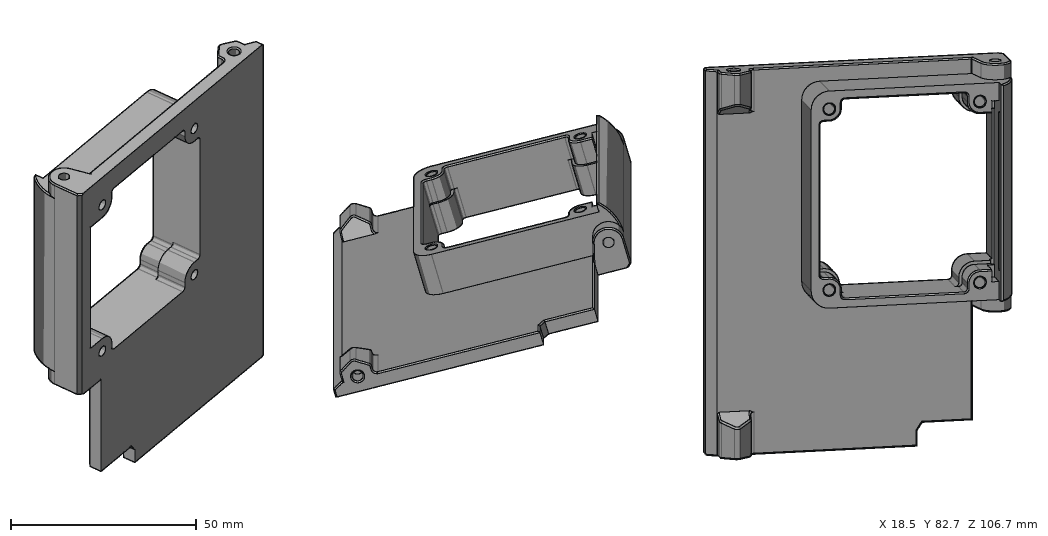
import cadquery as cq
import math

WIDTH = 82.72
HEIGHT = 106.7
EDGE_BREAK = 0.4
TOLERANCE = 0.01

PLATE_THICKNESS = 4.1
PLATE_HINGE_EDGE = 9.5
PLATE_BEVEL_WIDTH = 2.85
PLATE_BEVEL_LAND = 2.4
NOTCH_WIDTH = 24.7
NOTCH_HEIGHT = 6.5
NOTCH_CHAMFER = (1.4, 2.1)

FRAME_DEPTH = 16.0
FRAME_SIZE = 60.0
FRAME_BOTTOM = 42.3
FRAME_TOP = FRAME_BOTTOM + FRAME_SIZE
FRAME_FAR_SIDE = 56.6
FRAME_CORNER_RADIUS = 5.0
FRAME_WALL = 2.5
FRAME_MID_Z = (FRAME_BOTTOM + FRAME_TOP) / 2

LIP_REACH = 18.45
LIP_BACK = 4.85
LIP_TIP_WIDTH = 0.75

SCREW_DIAMETER = 3.0
SCREW_COUNTERSINK = 0.25
SCREW_INSET = 5.0
SCREW_SPACING_Y = 41.5
SCREW_FAR_Y = FRAME_FAR_SIDE - SCREW_INSET
SCREW_NEAR_Y = SCREW_FAR_Y - SCREW_SPACING_Y
SCREW_HALF_SPACING_Z = FRAME_SIZE / 2 - SCREW_INSET
BOSS_STEP_X = -9.0
FRONT_BOSS_RADIUS = 3.4
REAR_BOSS_RADIUS = 4.3
FRONT_BOSS_FILLET = 1.0
REAR_BOSS_FILLET = 1.0
FLARE_ANGLE = 45.0
BOSS_SLOT_WIDTH = 2.0
BOSS_SLOT_DEPTH = 5.5

HINGE_RADIUS = 4.25
HINGE_X = -8.5
HINGE_Y = HINGE_RADIUS
HINGE_PIN_DIAMETER = 3.0
HINGE_BOTTOM = 38.0
HINGE_FOOT_Y = 9.7
BACK_CORNER_CHAMFER = 1.0

CLIP_TIP_X = -9.7
CLIP_TIP_Y = 75.4
CLIP_SHOULDER_X = -6.8
CLIP_HALF_WIDTH = 4.4
CLIP_ROOT_FILLET = 1.2
CLIP_SHOULDER_FILLET = 0.9
CLIP_TIP_FILLET = 1.6
CLIP_LENGTH = 12.2
CLIP_TIP_LENGTH = 8.6
CLIP_HOLE_DIAMETER = 3.0
CLIP_HOLE_X = -4.4
CLIP_HOLE_DEPTH = 5.0


def box(x_range, y_range, z_range):
    """Axis-aligned box between pairs of limits."""
    (x0, x1), (y0, y1), (z0, z1) = x_range, y_range, z_range
    return cq.Workplane("XY").box(x1 - x0, y1 - y0, z1 - z0, centered=False).translate((x0, y0, z0))


def mirror_in_height(shape):
    """Mirror a shape about the mid-height of the part."""
    return shape.mirror("XY", (0, 0, HEIGHT / 2))


def make_plate():
    """Plate with a notched bottom corner and a bevel along its far side."""
    ramp_y, ramp_z = NOTCH_CHAMFER
    outline = [
        (WIDTH, 0),
        (WIDTH, HEIGHT),
        (PLATE_HINGE_EDGE, HEIGHT),
        (PLATE_HINGE_EDGE, NOTCH_HEIGHT),
        (NOTCH_WIDTH - ramp_y, NOTCH_HEIGHT),
        (NOTCH_WIDTH, NOTCH_HEIGHT - ramp_z),
        (NOTCH_WIDTH, 0),
    ]
    plate = cq.Workplane("YZ").polyline(outline).close().extrude(-PLATE_THICKNESS)
    bevel = (
        cq.Workplane("XY")
        .moveTo(-PLATE_BEVEL_LAND, WIDTH)
        .lineTo(-PLATE_THICKNESS, WIDTH)
        .lineTo(-PLATE_THICKNESS, WIDTH - PLATE_BEVEL_WIDTH)
        .close()
        .extrude(HEIGHT)
    )
    plate = plate.cut(bevel)
    bevel_foot_y = WIDTH - PLATE_BEVEL_WIDTH

    def is_broken(edge):
        """Edges of the inner face, and the end edges of the bevel and far side."""
        middle = edge.Center()
        at_end = min(middle.z, HEIGHT - middle.z) < TOLERANCE
        on_inner_face = edge.BoundingBox().xmax < TOLERANCE - PLATE_THICKNESS
        if middle.y > bevel_foot_y - TOLERANCE:
            return at_end
        return on_inner_face

    return plate.edges("not(>X)").filter(is_broken).chamfer(EDGE_BREAK)


def make_lower_clip():
    """Pointed clip at the bottom, with a sloping upper end and a blind hole underneath."""
    low_y = CLIP_TIP_Y - CLIP_HALF_WIDTH
    high_y = CLIP_TIP_Y + CLIP_HALF_WIDTH
    root_x = -PLATE_THICKNESS
    buried_x = root_x / 2
    slope_rate = (CLIP_LENGTH - CLIP_TIP_LENGTH) / (root_x - CLIP_TIP_X)
    clip = (
        cq.Workplane("XY")
        .moveTo(buried_x, high_y)
        .lineTo(CLIP_SHOULDER_X, high_y)
        .lineTo(CLIP_TIP_X, CLIP_TIP_Y)
        .lineTo(CLIP_SHOULDER_X, low_y)
        .lineTo(root_x - CLIP_ROOT_FILLET, low_y)
        .radiusArc((root_x, low_y - CLIP_ROOT_FILLET), CLIP_ROOT_FILLET)
        .lineTo(buried_x, low_y - CLIP_ROOT_FILLET)
        .close()
        .extrude(CLIP_LENGTH)
    )
    clip = clip.edges("|Z and <X").fillet(CLIP_TIP_FILLET)
    shoulders = cq.selectors.BoxSelector(
        (CLIP_SHOULDER_X - TOLERANCE, low_y - TOLERANCE, 0),
        (CLIP_SHOULDER_X + TOLERANCE, high_y + TOLERANCE, CLIP_LENGTH),
    )
    clip = clip.edges("|Z").edges(shoulders).fillet(CLIP_SHOULDER_FILLET)
    clip = clip.faces("<Z").edges("not(>X)").chamfer(EDGE_BREAK)
    slope = (
        cq.Workplane("XZ")
        .moveTo(root_x, CLIP_LENGTH)
        .lineTo(CLIP_TIP_X, CLIP_TIP_LENGTH)
        .lineTo(CLIP_TIP_X, CLIP_LENGTH)
        .close()
        .extrude(-WIDTH)
    )
    clip = clip.cut(slope)

    def is_slope_edge(edge):
        """Edges that lie in the slope, except along its foot."""
        middle = edge.Center()
        slope_z = CLIP_LENGTH - slope_rate * (root_x - middle.x)
        return middle.x < root_x - TOLERANCE and abs(middle.z - slope_z) < TOLERANCE

    return clip.edges().filter(is_slope_edge).chamfer(EDGE_BREAK)


def make_countersink(hole_diameter, size):
    """45 degree cone that opens at Z = 0 and narrows upward to a hole's diameter."""
    hole_radius = hole_diameter / 2
    return cq.Workplane(cq.Solid.makeCone(hole_radius + size, hole_radius, size))


def make_clip_hole():
    """Blind hole entering the lower clip from its bottom end."""
    return (
        cq.Workplane("XY")
        .center(CLIP_HOLE_X, CLIP_TIP_Y)
        .circle(CLIP_HOLE_DIAMETER / 2)
        .extrude(CLIP_HOLE_DEPTH)
        .union(make_countersink(CLIP_HOLE_DIAMETER, EDGE_BREAK).translate((CLIP_HOLE_X, CLIP_TIP_Y, 0)))
    )


def make_hinge():
    """Barrel that runs tangentially into the plate, full width behind the lip."""
    foot_dx = -PLATE_THICKNESS - HINGE_X
    foot_dy = HINGE_FOOT_Y - HINGE_Y
    foot_distance = math.hypot(foot_dx, foot_dy)
    tangent_angle = math.atan2(foot_dy, foot_dx) + math.acos(HINGE_RADIUS / foot_distance)
    tangent_point = (
        HINGE_X + HINGE_RADIUS * math.cos(tangent_angle),
        HINGE_Y + HINGE_RADIUS * math.sin(tangent_angle),
    )
    hinge = (
        cq.Workplane("XY")
        .workplane(offset=HINGE_BOTTOM)
        .moveTo(0, BACK_CORNER_CHAMFER)
        .lineTo(0, HINGE_FOOT_Y)
        .lineTo(-PLATE_THICKNESS, HINGE_FOOT_Y)
        .lineTo(*tangent_point)
        .threePointArc((HINGE_X - HINGE_RADIUS, HINGE_Y), (HINGE_X, 0))
        .lineTo(-BACK_CORNER_CHAMFER, 0)
        .close()
        .extrude(HEIGHT - HINGE_BOTTOM)
    )
    return hinge.faces("<Z or >Z").edges("not(>X or >Y)").chamfer(EDGE_BREAK)


def make_frame():
    """Solid frame block whose hinge side curves outward into the lip."""
    tip_y = LIP_BACK - LIP_TIP_WIDTH
    lip_run = LIP_REACH + HINGE_X
    lip_radius = (lip_run**2 + tip_y**2) / (2 * tip_y)
    frame = (
        cq.Workplane("XY")
        .workplane(offset=FRAME_BOTTOM)
        .moveTo(0, BACK_CORNER_CHAMFER)
        .lineTo(-BACK_CORNER_CHAMFER, 0)
        .lineTo(HINGE_X, 0)
        .radiusArc((-LIP_REACH, tip_y), lip_radius)
        .lineTo(-LIP_REACH, LIP_BACK)
        .lineTo(-FRAME_DEPTH, LIP_BACK)
        .lineTo(-FRAME_DEPTH, FRAME_FAR_SIDE)
        .lineTo(0, FRAME_FAR_SIDE)
        .close()
        .extrude(FRAME_SIZE)
    )
    frame = frame.edges("|X and >Y").fillet(FRAME_CORNER_RADIUS)
    return frame.edges("%CIRCLE").edges("<Y").chamfer(EDGE_BREAK)


def make_opening(boss_radius, wall_fillet, x_range):
    """Frame opening over an X range, leaving a rounded boss in every corner."""
    far_y = FRAME_FAR_SIDE - FRAME_WALL
    half_height = FRAME_SIZE / 2 - FRAME_WALL
    inner_low_y = SCREW_NEAR_Y + boss_radius
    inner_high_y = SCREW_FAR_Y - boss_radius
    inner_half_height = SCREW_HALF_SPACING_Z - boss_radius
    tall = box(
        x_range,
        (inner_low_y, inner_high_y),
        (FRAME_MID_Z - half_height, FRAME_MID_Z + half_height),
    )
    wide = box(
        x_range,
        (LIP_BACK, far_y),
        (FRAME_MID_Z - inner_half_height, FRAME_MID_Z + inner_half_height),
    )
    opening = tall.union(wide)

    def corner_edges(y_values, half_z):
        centres = [(y, FRAME_MID_Z + side * half_z) for y in y_values for side in (-1, 1)]

        def is_corner(edge):
            middle = edge.Center()
            return any(math.hypot(middle.y - y, middle.z - z) < TOLERANCE for y, z in centres)

        return opening.edges("|X").filter(is_corner)

    opening = corner_edges((inner_low_y, inner_high_y), inner_half_height).fillet(boss_radius)
    opening = corner_edges((inner_low_y, inner_high_y), half_height).fillet(wall_fillet)
    return corner_edges((far_y,), inner_half_height).fillet(wall_fillet)


def make_frame_opening():
    """Stepped opening through the frame, with slots beside the bosses near the lip."""
    front = make_opening(FRONT_BOSS_RADIUS, FRONT_BOSS_FILLET, (-FRAME_DEPTH, BOSS_STEP_X))
    rear = make_opening(REAR_BOSS_RADIUS, REAR_BOSS_FILLET, (BOSS_STEP_X, 0))
    flare = (
        front.faces("<X")
        .wires()
        .toPending()
        .workplane()
        .offset2D(EDGE_BREAK)
        .extrude(-EDGE_BREAK, taper=FLARE_ANGLE)
    )
    slots = box(
        (-FRAME_DEPTH, BOSS_SLOT_DEPTH - FRAME_DEPTH),
        (LIP_BACK, LIP_BACK + BOSS_SLOT_WIDTH),
        (FRAME_MID_Z - SCREW_HALF_SPACING_Z, FRAME_MID_Z + SCREW_HALF_SPACING_Z),
    )
    return front.union(rear).union(flare).union(slots)


def make_screw_holes():
    """Screw holes through the four frame bosses."""
    centres = [
        (y, FRAME_MID_Z + side * SCREW_HALF_SPACING_Z)
        for y in (SCREW_NEAR_Y, SCREW_FAR_Y)
        for side in (-1, 1)
    ]
    holes = cq.Workplane("YZ").pushPoints(centres).circle(SCREW_DIAMETER / 2).extrude(-FRAME_DEPTH)
    countersink = make_countersink(SCREW_DIAMETER, SCREW_COUNTERSINK).rotate((0, 0, 0), (0, 1, 0), 90)
    for y, z in centres:
        holes = holes.union(countersink.translate((-FRAME_DEPTH, y, z)))
    return holes


def make_hinge_pin_hole():
    """Hole along the hinge axis through the whole barrel."""
    return cq.Workplane("XY").center(HINGE_X, HINGE_Y).circle(HINGE_PIN_DIAMETER / 2).extrude(HEIGHT)


lower_clip = make_lower_clip()
clip_hole = make_clip_hole()
result = make_plate().union(lower_clip).union(mirror_in_height(lower_clip))
result = result.cut(clip_hole).cut(mirror_in_height(clip_hole))
result = result.union(make_hinge()).union(make_frame())
result = result.cut(make_frame_opening()).cut(make_screw_holes()).cut(make_hinge_pin_hole())